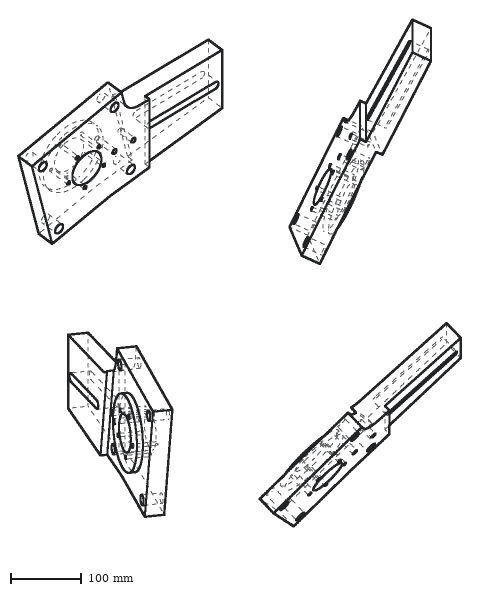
import cadquery as cq
import math


head_side = 176.0
head_half = head_side / 2
head_tilt = 12.8
head_thickness = 29.0
bolt_spacing = 141.0
bolt_diameter = 15.3

boss_diameter = 114.0
boss_height = 9.0
bore_diameter = 56.0
screw_count = 5
screw_circle_radius = 35.5
screw_diameter = 5.2

dowel_diameter = 8.0
dowel_positions = (53.0, 89.0)

total_length = 373.0
arm_top = 60.0
arm_end_bottom = -51.0
arm_thickness = 30.0
arm_projection = 10.0
front_step_distance = 94.5
back_step_y = 120.0
knee_y = 44.7
inner_corner_radius = 30.0
slot_outer_y = 260.3
slot_inner_y = 123.5
slot_width = 13.0

tilt = math.radians(head_tilt)
total_thickness = head_thickness + arm_projection
arm_end_y = total_length - head_half * (math.cos(tilt) + math.sin(tilt))
arm_back_x = arm_thickness - arm_projection


def from_head_axes(along, up):
    """Turn a point in the tilted axes of the head into (Y, Z)."""
    return (
        along * math.cos(tilt) - up * math.sin(tilt),
        along * math.sin(tilt) + up * math.cos(tilt),
    )


def plane_at(x):
    """YZ plane at depth x."""
    return cq.Workplane("YZ", origin=(x, 0, 0))


def through_holes(points, diameter):
    """Round cutters through the full thickness, boss included."""
    return plane_at(-arm_projection).pushPoints(points).circle(diameter / 2).extrude(total_thickness)


def make_blank():
    """Arm and head outline at full thickness, with the inner corner rounded."""
    inner_corner_y = (head_half - arm_top * math.sin(tilt)) / math.cos(tilt)
    knee_z = (knee_y * math.sin(tilt) - head_half) / math.cos(tilt)
    outline = [
        (arm_end_y, arm_top),
        (inner_corner_y, arm_top),
        from_head_axes(head_half, head_half),
        from_head_axes(-head_half, head_half),
        from_head_axes(-head_half, -head_half),
        (knee_y, knee_z),
        (arm_end_y, arm_end_bottom),
    ]
    blank = plane_at(-arm_projection).polyline(outline).close().extrude(total_thickness)
    inner_corner = cq.selectors.NearestToPointSelector(
        (total_thickness / 2 - arm_projection, inner_corner_y, arm_top)
    )
    return blank.edges("|X").edges(inner_corner).fillet(inner_corner_radius)


def front_relief():
    """Block that sets the head back from the arm, along a tilted step."""
    corners = [
        from_head_axes(front_step_distance, total_length),
        from_head_axes(-total_length, total_length),
        from_head_axes(-total_length, -total_length),
        from_head_axes(front_step_distance, -total_length),
    ]
    return plane_at(-arm_projection).polyline(corners).close().extrude(arm_projection)


def back_relief():
    """Block that thins the back of the arm beyond the upright step."""
    return (
        plane_at(arm_back_x)
        .center(back_step_y, 0)
        .rect(total_length, total_length, centered=(False, True))
        .extrude(head_thickness - arm_back_x)
    )


def make_slot():
    """Round-ended slot through the arm, level with the bore."""
    return (
        plane_at(-arm_projection)
        .center((slot_outer_y + slot_inner_y) / 2, 0)
        .slot2D(slot_outer_y - slot_inner_y, slot_width)
        .extrude(total_thickness)
    )


bolt_half = bolt_spacing / 2
bolt_points = [from_head_axes(i * bolt_half, j * bolt_half) for i in (-1, 1) for j in (-1, 1)]
screw_points = []
for index in range(screw_count):
    angle = math.pi + index * 2 * math.pi / screw_count
    along = screw_circle_radius * math.cos(angle)
    up = screw_circle_radius * math.sin(angle)
    screw_points.append(from_head_axes(along, up))
dowel_points = [(y, 0) for y in dowel_positions]

boss = plane_at(-boss_height).circle(boss_diameter / 2).extrude(boss_height)

result = make_blank().cut(front_relief()).cut(back_relief()).union(boss)
result = result.cut(make_slot())
result = result.cut(through_holes([(0, 0)], bore_diameter))
result = result.cut(through_holes(bolt_points, bolt_diameter))
result = result.cut(through_holes(screw_points, screw_diameter))
result = result.cut(through_holes(dowel_points, dowel_diameter))